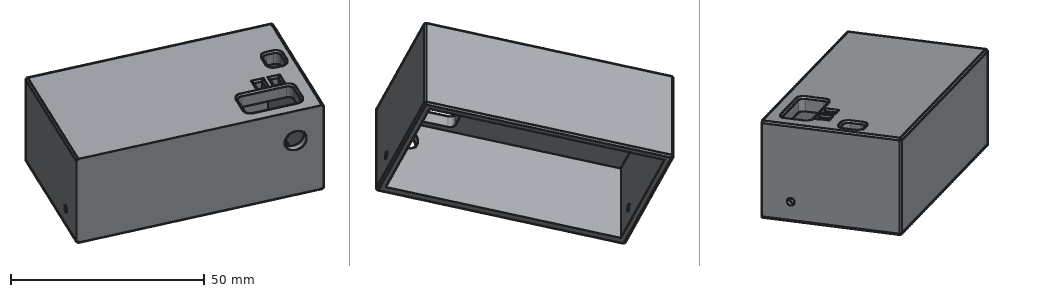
import cadquery as cq

length_x = 38.4
length_y = 68.4
height = 27.0
wall = 2.0
roof = 4.05
edge_chamfer = 0.55

window_bevel = 0.55
window_radius = 1.5
main_window_center = (11.6, 21.9)
main_window_size = (7.95, 15.45)
side_window_center = (-4.05, 29.1)
side_window_size = (6.0, 4.9)

small_window_size = (3.0, 2.25)
small_pair_center = (4.9, 24.1)
small_pair_pitch = 4.5

pin_diameter = 2.0
pin_x = 11.2
pin_z = -7.95
port_diameter = 6.0
port_y = 26.4
port_z = 4.0

top_z = height / 2
bottom_z = -height / 2


def make_shell():
    """Box open at the bottom, with every outer edge bevelled except those of the +X face."""
    box = cq.Workplane("XY").box(length_x, length_y, height)
    box = box.edges("not(>X)").chamfer(edge_chamfer)
    floor_plane = cq.Workplane("XY", origin=(0, 0, bottom_z))
    cavity = floor_plane.rect(length_x - 2 * wall, length_y - 2 * wall).extrude(height - roof)
    return box.cut(cavity)


def roof_window(center, size, radius=0.0):
    """Cutter for a roof opening whose upper rim flares out at 45 degrees."""
    outline = cq.Sketch().rect(size[0] + 2 * window_bevel, size[1] + 2 * window_bevel)
    if radius:
        outline = outline.vertices().fillet(radius + window_bevel)
    roof_plane = cq.Workplane("XY", origin=(*center, top_z))
    flared_rim = roof_plane.placeSketch(outline).extrude(-window_bevel, taper=45)
    return flared_rim.faces("<Z").wires().toPending().workplane().extrude(roof)


def wall_hole(plane, start, diameter, depth):
    """Cutter for a round hole from a start point along the normal of the given plane."""
    return cq.Workplane(plane, origin=start).circle(diameter / 2).extrude(depth)


result = make_shell()

result = result.cut(roof_window(main_window_center, main_window_size, window_radius))
result = result.cut(roof_window(side_window_center, side_window_size, window_radius))
for side in (-1, 1):
    small_center = (small_pair_center[0], small_pair_center[1] + side * small_pair_pitch / 2)
    result = result.cut(roof_window(small_center, small_window_size))

pin_start = (pin_x, length_y / 2, pin_z)
port_start = (length_x / 2 - wall, port_y, port_z)
result = result.cut(wall_hole("XZ", pin_start, pin_diameter, length_y))
result = result.cut(wall_hole("YZ", port_start, port_diameter, wall))